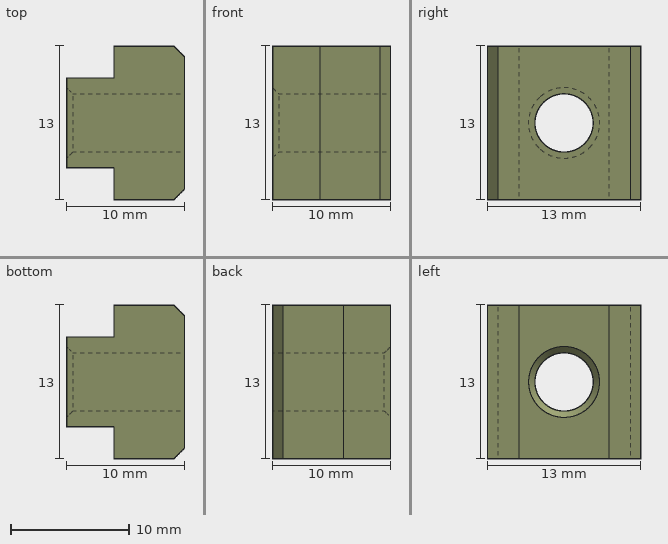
import cadquery as cq

length = 13.0
head_width = 13.0
total_depth = 10.0
neck_depth = 4.0
neck_width = 7.62
edge_chamfer = 0.9

hole_diameter = 4.91
countersink_diameter = 6.0
countersink_angle = 90.0


def make_body():
    """T-shaped prism with its two outer head edges chamfered."""
    head = (
        cq.Workplane("XY")
        .box(total_depth - neck_depth, head_width, length, centered=(False, True, True))
        .translate((neck_depth, 0, 0))
        .edges("|Z and >X")
        .chamfer(edge_chamfer)
    )
    neck = cq.Workplane("XY").box(total_depth / 2, neck_width, length, centered=(False, True, True))
    return head.union(neck)


def add_threaded_hole(body):
    """Countersunk bore through the middle of the neck face."""
    return (
        body.faces("<X")
        .workplane(centerOption="CenterOfBoundBox")
        .cskHole(hole_diameter, countersink_diameter, countersink_angle)
    )


result = add_threaded_hole(make_body())